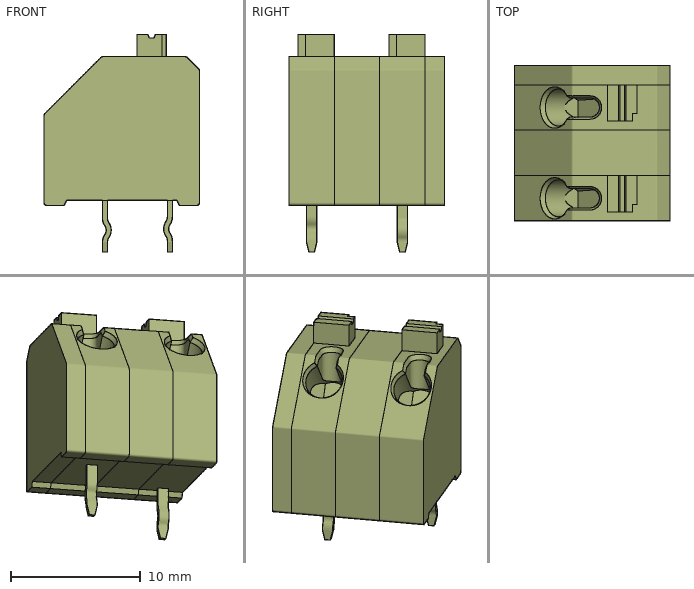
import cadquery as cq
import math


LENGTH = 12.0
STACK_WIDTH = 12.0
HEIGHT = 11.49
ENTRY_CHAMFER = 4.47
BACK_CHAMFER = 1.0
CORNER_RADIUS = 0.2
FOOT_HEIGHT = 0.4
FOOT_BOTTOM_LENGTH = 1.56
FOOT_TOP_LENGTH = 1.76

END_PLATE_WIDTH = 1.5
SLICE_WIDTH = (STACK_WIDTH - END_PLATE_WIDTH) / 3
MID_Y = SLICE_WIDTH / 2

BORE_X = 3.1
BORE_Z = HEIGHT - ENTRY_CHAMFER + BORE_X
BORE_RADIUS = 1.43
BORE_DEPTH = 3.65
RAMP_ANGLE = 30.0
VALLEY_X = 4.89
VALLEY_Z = VALLEY_X + BORE_Z - BORE_X - BORE_DEPTH * math.sqrt(2)
SKEW_WALL_LEAN = 26.0
SKEW_WALL_TURN = 25.0
SKEW_WALL_OFFSET = 0.55

SLOT_HALF_WIDTH = 0.74
SLOT_END_X = 6.55
LEAD_IN_WIDTH = 0.17
LEAD_IN_DEPTH = 0.4
LEAD_IN_ANGLE = math.degrees(math.atan(LEAD_IN_WIDTH / LEAD_IN_DEPTH))

BUTTON_X = 7.15
BUTTON_LENGTH = 2.28
BUTTON_WIDTH = 2.8
BUTTON_HEIGHT = 1.71
BUTTON_STEP_LENGTH = 0.34
BUTTON_STEP_WIDTH = 0.59
NOTCH_TOP_WIDTH = 0.57
NOTCH_BOTTOM_WIDTH = 0.35
NOTCH_DEPTH = 0.29

FRONT_PIN_X = 4.7
PIN_PITCH = 5.0
PIN_THICKNESS = 0.4
PIN_WIDTH = 0.8
PIN_TIP_WIDTH = 0.44
PIN_TIP_Z = -3.6
PIN_TAPER_Z = -2.84
KINK_INNER_RADIUS = 0.6
KINK_OFFSET = 0.29
FRONT_KINK_Z = -1.9
BACK_KINK_Z = -1.8

OVERSHOOT = 0.34


def prism(points, y_start, width):
    """Extrude an X-Z polygon along +Y."""
    sketch = cq.Workplane("XZ", origin=(0, y_start, 0)).polyline(points).close()
    return sketch.extrude(-width)


def housing_slice(y_start, width):
    """Plain slice: sloped entry, back chamfer and two feet, with rounded outer corners."""
    rounded_corners = [
        (0, 0),
        (0, HEIGHT - ENTRY_CHAMFER),
        (ENTRY_CHAMFER, HEIGHT),
        (LENGTH - BACK_CHAMFER, HEIGHT),
        (LENGTH, HEIGHT - BACK_CHAMFER),
        (LENGTH, 0),
    ]
    recess = [
        (LENGTH - FOOT_BOTTOM_LENGTH, 0),
        (LENGTH - FOOT_TOP_LENGTH, FOOT_HEIGHT),
        (FOOT_TOP_LENGTH, FOOT_HEIGHT),
        (FOOT_BOTTOM_LENGTH, 0),
    ]
    body = prism(rounded_corners + recess, y_start, width)
    for x, z in rounded_corners:
        corner = cq.selectors.NearestToPointSelector((x, y_start + width / 2, z))
        body = body.edges("|Y").edges(corner).fillet(CORNER_RADIUS)
    return body


def entry_plane(y_mid):
    """Plane on the entry slope at the bore centre: local X along Y, local Y up the slope."""
    return cq.Plane(origin=(BORE_X, y_mid, BORE_Z), xDir=(0, -1, 0), normal=(-1, 0, 1))


def lead_in_trapezoid(plane):
    """Flared slot section, drawn with local Y pointing out of the surface."""
    outer = SLOT_HALF_WIDTH + LEAD_IN_WIDTH
    return cq.Workplane(plane).polyline([
        (-outer, 0),
        (outer, 0),
        (SLOT_HALF_WIDTH, -LEAD_IN_DEPTH),
        (-SLOT_HALF_WIDTH, -LEAD_IN_DEPTH),
    ]).close()


def bore(y_mid):
    """Wire bore with a conical lead-in."""
    mouth = cq.Workplane(entry_plane(y_mid))
    mouth_radius = BORE_RADIUS + LEAD_IN_WIDTH
    hole = mouth.circle(BORE_RADIUS).extrude(-BORE_DEPTH)
    cone = mouth.circle(mouth_radius).extrude(-LEAD_IN_DEPTH, taper=LEAD_IN_ANGLE)
    clearance = mouth.circle(mouth_radius).extrude(OVERSHOOT)
    return hole.union(cone).union(clearance)


def slot(y_mid):
    """Vertical slot with a rounded back end and a flared rim on the top face."""
    end_centre_x = SLOT_END_X - SLOT_HALF_WIDTH
    straight = end_centre_x - ENTRY_CHAMFER
    depth = HEIGHT - VALLEY_Z

    top = cq.Workplane("XY", origin=(end_centre_x, y_mid, HEIGHT))
    channel = top.center(-straight / 2, 0).rect(straight, 2 * SLOT_HALF_WIDTH).extrude(-depth)
    round_end = top.circle(SLOT_HALF_WIDTH).extrude(-depth)
    round_rim = top.circle(SLOT_HALF_WIDTH + LEAD_IN_WIDTH).extrude(-LEAD_IN_DEPTH, taper=LEAD_IN_ANGLE)

    top_rim_plane = cq.Plane(origin=(end_centre_x, y_mid, HEIGHT), xDir=(0, 1, 0), normal=(1, 0, 0))
    top_rim = lead_in_trapezoid(top_rim_plane).extrude(-straight - OVERSHOOT)
    return channel.union(round_end).union(round_rim).union(top_rim)


def slope_slot(y_mid):
    """Part of the slot that opens on the entry slope, from the bore up to the ridge."""
    rise = (ENTRY_CHAMFER - BORE_X) * math.sqrt(2)
    section = cq.Plane(origin=(BORE_X, y_mid, BORE_Z), xDir=(0, 1, 0), normal=(1, 0, 1))
    rim = lead_in_trapezoid(section).extrude(rise + OVERSHOOT)
    walls = (
        cq.Workplane(section)
        .center(0, -BORE_RADIUS / 2)
        .rect(2 * SLOT_HALF_WIDTH, BORE_RADIUS)
        .extrude(rise + OVERSHOOT)
    )
    return rim.union(walls)


def skew_wall(y_mid):
    """Block behind the skew wall, whose face looks toward -X, -Y and up."""
    lean = math.radians(SKEW_WALL_LEAN)
    turn = math.radians(SKEW_WALL_TURN)
    normal = (-math.sin(turn) * math.cos(lean), -math.cos(turn) * math.cos(lean), math.sin(lean))
    face = cq.Plane(origin=(VALLEY_X, y_mid + SKEW_WALL_OFFSET, VALLEY_Z), xDir=(0, 0, 1), normal=normal)
    return cq.Workplane(face).rect(HEIGHT, HEIGHT).extrude(-SLICE_WIDTH)


def wire_cavity(y_mid):
    """Bore without its skewed corner, joined by the slot and closed below by bore floor and ramp."""
    run = VALLEY_X
    floor = [
        (VALLEY_X, VALLEY_Z),
        (VALLEY_X + run, VALLEY_Z + run),
        (VALLEY_X + run, 0),
        (VALLEY_X - run, 0),
        (VALLEY_X - run, VALLEY_Z + run * math.tan(math.radians(RAMP_ANGLE))),
    ]
    floor_block = prism(floor, y_mid - MID_Y, SLICE_WIDTH)
    opening = bore(y_mid).union(slot(y_mid)).union(slope_slot(y_mid))
    return opening.cut(floor_block).cut(skew_wall(y_mid))


def push_button(y_back):
    """Button on the top face, flush with the back of its pole, with a notch and a stepped corner."""
    top_z = HEIGHT + BUTTON_HEIGHT
    notch_x = BUTTON_X + BUTTON_LENGTH / 2
    y_front = y_back - BUTTON_WIDTH
    outline = [
        (BUTTON_X, HEIGHT),
        (BUTTON_X, top_z),
        (notch_x - NOTCH_TOP_WIDTH / 2, top_z),
        (notch_x - NOTCH_BOTTOM_WIDTH / 2, top_z - NOTCH_DEPTH),
        (notch_x + NOTCH_BOTTOM_WIDTH / 2, top_z - NOTCH_DEPTH),
        (notch_x + NOTCH_TOP_WIDTH / 2, top_z),
        (BUTTON_X + BUTTON_LENGTH, top_z),
        (BUTTON_X + BUTTON_LENGTH, HEIGHT),
    ]
    step = cq.Workplane("XY").box(
        BUTTON_STEP_LENGTH, BUTTON_STEP_WIDTH, BUTTON_HEIGHT, centered=False
    ).translate((BUTTON_X + BUTTON_LENGTH - BUTTON_STEP_LENGTH, y_front, HEIGHT))
    return prism(outline, y_front, BUTTON_WIDTH).cut(step)


def solder_pin(x_mid, y_mid, kink_z, kink_side):
    """Flat pin with a snap-in kink toward kink_side (+1 or -1 in X) and a tapered tip."""
    half = PIN_THICKNESS / 2
    bend_radius = KINK_INNER_RADIUS + half
    bend = math.acos(1 - KINK_OFFSET / (2 * bend_radius))
    reach = bend_radius * math.sin(bend)
    start_z = kink_z + 2 * reach
    end_z = kink_z - 2 * reach

    peak = x_mid + kink_side * KINK_OFFSET
    middle = x_mid + kink_side * KINK_OFFSET / 2
    sag = kink_side * bend_radius * (1 - math.cos(bend / 2))
    half_reach = bend_radius * math.sin(bend / 2)
    path = (
        cq.Workplane("XZ", origin=(0, y_mid, 0))
        .moveTo(x_mid, FOOT_HEIGHT)
        .lineTo(x_mid, start_z)
        .threePointArc((x_mid + sag, start_z - half_reach), (middle, kink_z + reach))
        .threePointArc((peak, kink_z), (middle, kink_z - reach))
        .threePointArc((x_mid + sag, end_z + half_reach), (x_mid, end_z))
        .lineTo(x_mid, PIN_TIP_Z)
    )
    strip = (
        cq.Workplane("XY", origin=(x_mid, y_mid, FOOT_HEIGHT))
        .rect(PIN_THICKNESS, PIN_WIDTH)
        .sweep(path)
    )
    for side in (-1, 1):
        shaving = (
            cq.Workplane("YZ", origin=(x_mid - PIN_THICKNESS, 0, 0))
            .polyline([
                (y_mid + side * PIN_WIDTH / 2, PIN_TAPER_Z),
                (y_mid + side * PIN_TIP_WIDTH / 2, PIN_TIP_Z),
                (y_mid + side * PIN_WIDTH / 2, PIN_TIP_Z),
            ])
            .close()
            .extrude(2 * PIN_THICKNESS)
        )
        strip = strip.cut(shaving)
    return strip


def pole(y_start, pin_x, kink_z, kink_side):
    """Contact slice: housing slice with wire cavity, push button and solder pin."""
    y_mid = y_start + MID_Y
    body = housing_slice(y_start, SLICE_WIDTH).cut(wire_cavity(y_mid))
    body = body.union(push_button(y_start + SLICE_WIDTH))
    return body.union(solder_pin(pin_x, y_mid, kink_z, kink_side))


pole_settings = [
    (0, FRONT_PIN_X + PIN_PITCH, BACK_KINK_Z, -1),
    (2 * SLICE_WIDTH, FRONT_PIN_X, FRONT_KINK_Z, 1),
]
poles = [pole(*settings) for settings in pole_settings]
spacer = housing_slice(SLICE_WIDTH, SLICE_WIDTH)
end_plate = housing_slice(3 * SLICE_WIDTH, END_PLATE_WIDTH)

result = cq.Compound.makeCompound([*(p.val() for p in poles), spacer.val(), end_plate.val()])